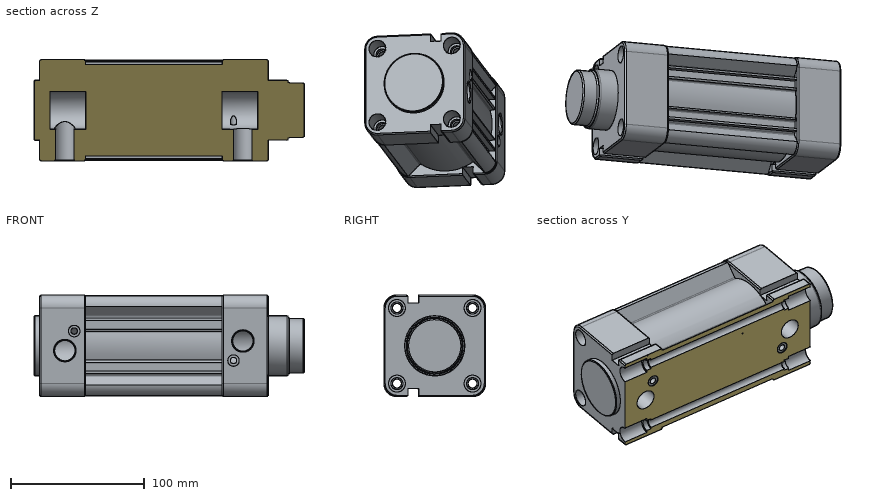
import cadquery as cq
import math

BODY_LENGTH = 171.0
CAP_LENGTH = 34.5
BARREL_LENGTH = BODY_LENGTH - 2 * CAP_LENGTH
MID_X = BODY_LENGTH / 2
OVERLAP = 1.0

CAP_SIZE = 76.0
CAP_CORNER_RADIUS = 9.75
CAP_CHAMFER = 1.0
NOTCH_Y = -12.0
NOTCH_WIDTH = 7.9
NOTCH_DEPTH = 6.0
NOTCH_CHAMFER_WIDTH = 1.4
CAP_BORE_RADIUS = 14.0
CAP_BORE_END_WALL = 8.0

TIE_ROD_OFFSET = 56.5 / 2
TIE_ROD_DIAMETER = 6.6
TIE_ROD_STEP_DIAMETER = 9.0
TIE_ROD_STEP_DEPTH = 24.0
TIE_ROD_MOUTH_DIAMETER = 12.6
TIE_ROD_MOUTH_DEPTH = 20.0

PORT_DIAMETER = 15.2
PORT_CHAMFER = 0.8
PORT_X = 19.0
PORT_Z = -3.6
SCREW_HOLE_DIAMETER = 4.8
SCREW_MOUTH_DIAMETER = 8.6
SCREW_MOUTH_DEPTH = 10.0
SCREW_X = 26.0
SCREW_Z = 11.0

BARREL_SIZE = 75.0
POST_CORNER_RADIUS = 9.25
TUBE_RADIUS = 34.5
POST_SLOPE_OFFSET = 8.1
POST_FLANK_FILLET = 1.0

RAIL_TIP_Y = 36.6
RAIL_FOOT_Z = 22.4
OUTER_LIP_Z = 20.6
GROOVE_TOP_Z = 19.0
GROOVE_BOTTOM_Z = 12.3
INNER_LIP_Z = 10.8
GROOVE_FLOOR_Y = 31.5
RAIL_FILLET = 0.5
INNER_LIP_DROP = 0.7

BOSS_RADIUS = 22.5
REAR_BOSS_LENGTH = 4.0
REAR_BOSS_CHAMFER = 0.6
FRONT_BOSS_LENGTH = 14.8
FRONT_BOSS_BEVEL = 0.2
FRONT_BOSS_BEVEL_LENGTH = 1.3
ROD_END_X = 198.0
ROD_RADIUS = 20.5
ROD_NECK_RADIUS = 21.3
ROD_NECK_LENGTH = 1.2
ROD_CHAMFER = 1.0


def x_cylinder(radius, x_start, x_end, y=0.0, z=0.0):
    """Cylinder parallel to the X axis."""
    axis_point = cq.Vector(x_start, y, z)
    return cq.Workplane(cq.Solid.makeCylinder(radius, x_end - x_start, axis_point, cq.Vector(1, 0, 0)))


def mirrored_lengthwise(body):
    """Copy of a rear-end body at the front end of the cylinder."""
    return body.mirror("YZ", (MID_X, 0, 0))


def end_cap():
    """Rear cap: rounded square block with chamfered end faces and two notches."""
    cap = (
        cq.Workplane("YZ")
        .rect(CAP_SIZE, CAP_SIZE)
        .extrude(CAP_LENGTH)
        .edges("|X")
        .fillet(CAP_CORNER_RADIUS)
        .faces("<X or >X")
        .chamfer(CAP_CHAMFER)
    )
    half = CAP_SIZE / 2
    notch_far_y = NOTCH_Y - NOTCH_WIDTH
    notch = (
        cq.Workplane("YZ")
        .polyline([
            (NOTCH_Y, half),
            (NOTCH_Y, half - NOTCH_DEPTH),
            (notch_far_y, half - NOTCH_DEPTH),
            (notch_far_y, half - CAP_CHAMFER),
            (notch_far_y - NOTCH_CHAMFER_WIDTH, half),
        ])
        .close()
        .extrude(CAP_LENGTH)
    )
    bore = x_cylinder(CAP_BORE_RADIUS, CAP_BORE_END_WALL, CAP_LENGTH)
    return cap.cut(notch).cut(notch.mirror("XY")).cut(bore)


def rail_cutter():
    """Space between two corner posts on the -Y side, leaving the two grooved rails."""
    outside_y = -BARREL_SIZE
    foot_y = -(RAIL_FOOT_Z + POST_SLOPE_OFFSET)
    lip_y = foot_y - (RAIL_FOOT_Z - OUTER_LIP_Z)
    tube_y = -math.sqrt(TUBE_RADIUS**2 - INNER_LIP_Z**2)
    floor_y = -GROOVE_FLOOR_Y
    upper_half = [
        (tube_y, INNER_LIP_Z),
        (INNER_LIP_DROP - RAIL_TIP_Y, INNER_LIP_Z),
        (-RAIL_TIP_Y, GROOVE_BOTTOM_Z),
        (floor_y, GROOVE_BOTTOM_Z),
        (floor_y, GROOVE_TOP_Z),
        (-RAIL_TIP_Y, GROOVE_TOP_Z),
        (-RAIL_TIP_Y, OUTER_LIP_Z),
        (lip_y, OUTER_LIP_Z),
        (foot_y, RAIL_FOOT_Z),
        (outside_y, -outside_y - POST_SLOPE_OFFSET),
    ]
    lower_half = [(y, -z) for y, z in reversed(upper_half)]
    cutter = (
        cq.Workplane("YZ")
        .polyline(upper_half + lower_half)
        .threePointArc((-TUBE_RADIUS, 0), upper_half[0])
        .close()
        .extrude(BARREL_LENGTH)
    )
    rounded_corners = ((tube_y, INNER_LIP_Z), (floor_y, GROOVE_BOTTOM_Z), (foot_y, RAIL_FOOT_Z))
    for y, z in rounded_corners:
        for z_sign in (-1, 1):
            corner = cq.selectors.NearestToPointSelector((BARREL_LENGTH / 2, y, z_sign * z))
            cutter = cutter.edges(corner).fillet(RAIL_FILLET)
    return cutter


def top_cutter():
    """Space between two corner posts on the +Z side, open down to the round tube."""
    root = math.sqrt(2 * TUBE_RADIUS**2 - POST_SLOPE_OFFSET**2)
    flank_y = (root - POST_SLOPE_OFFSET) / 2
    flank_z = flank_y + POST_SLOPE_OFFSET
    outside_z = BARREL_SIZE
    outside_y = outside_z - POST_SLOPE_OFFSET
    return (
        cq.Workplane("YZ")
        .moveTo(-flank_y, flank_z)
        .threePointArc((0, TUBE_RADIUS), (flank_y, flank_z))
        .lineTo(outside_y, outside_z)
        .lineTo(-outside_y, outside_z)
        .close()
        .extrude(BARREL_LENGTH)
        .edges("|X and (not >Z)")
        .fillet(POST_FLANK_FILLET)
    )


def barrel():
    """Extruded barrel: round tube, four corner posts and grooved side rails."""
    profile = (
        cq.Workplane("YZ")
        .rect(BARREL_SIZE, BARREL_SIZE)
        .extrude(BARREL_LENGTH)
        .edges("|X")
        .fillet(POST_CORNER_RADIUS)
    )
    side = rail_cutter()
    top = top_cutter()
    for cutter in (side, side.mirror("XZ"), top, top.mirror("XY")):
        profile = profile.cut(cutter)
    return profile.translate((CAP_LENGTH, 0, 0))


def rear_boss():
    """Short centring boss on the rear cap."""
    boss = x_cylinder(BOSS_RADIUS, -REAR_BOSS_LENGTH, OVERLAP)
    return boss.faces("<X").chamfer(REAR_BOSS_CHAMFER)


def front_boss_and_rod():
    """Centring boss of the front cap with the rod end standing out of it."""
    base_x = BODY_LENGTH - OVERLAP
    boss_end_x = BODY_LENGTH + FRONT_BOSS_LENGTH
    return (
        cq.Workplane("XY")
        .polyline([
            (base_x, 0),
            (base_x, BOSS_RADIUS),
            (boss_end_x - FRONT_BOSS_BEVEL_LENGTH, BOSS_RADIUS),
            (boss_end_x, BOSS_RADIUS - FRONT_BOSS_BEVEL),
            (boss_end_x, ROD_NECK_RADIUS),
            (boss_end_x + ROD_NECK_LENGTH, ROD_RADIUS),
            (ROD_END_X - ROD_CHAMFER, ROD_RADIUS),
            (ROD_END_X, ROD_RADIUS - ROD_CHAMFER),
            (ROD_END_X, 0),
        ])
        .close()
        .revolve(360, (0, 0, 0), (1, 0, 0))
    )


def tie_rod_hole(y, z):
    """Through hole with a two-step counterbore in both caps."""
    hole = x_cylinder(TIE_ROD_DIAMETER / 2, 0, BODY_LENGTH, y, z)
    mouth = x_cylinder(TIE_ROD_MOUTH_DIAMETER / 2, 0, TIE_ROD_MOUTH_DEPTH, y, z)
    step = x_cylinder(TIE_ROD_STEP_DIAMETER / 2, 0, TIE_ROD_STEP_DEPTH, y, z)
    counterbore = mouth.union(step)
    return hole.union(counterbore).union(mirrored_lengthwise(counterbore))


def side_hole(x, z, diameter):
    """Hole from the -Y face of a cap to the cap bore around the axis."""
    start = cq.Vector(x, -CAP_SIZE / 2, z)
    return cq.Workplane(cq.Solid.makeCylinder(diameter / 2, CAP_SIZE / 2, start, cq.Vector(0, 1, 0)))


def air_port(x, z):
    """Air port with a chamfered mouth."""
    mouth_radius = PORT_DIAMETER / 2 + PORT_CHAMFER
    start = cq.Vector(x, -CAP_SIZE / 2, z)
    mouth = cq.Solid.makeCone(mouth_radius, PORT_DIAMETER / 2, PORT_CHAMFER, start, cq.Vector(0, 1, 0))
    return side_hole(x, z, PORT_DIAMETER).union(cq.Workplane(mouth))


def cushion_screw_hole(x, z):
    """Small stepped hole for the cushion screw."""
    start = cq.Vector(x, -CAP_SIZE / 2, z)
    mouth = cq.Solid.makeCylinder(SCREW_MOUTH_DIAMETER / 2, SCREW_MOUTH_DEPTH, start, cq.Vector(0, 1, 0))
    return side_hole(x, z, SCREW_HOLE_DIAMETER).union(cq.Workplane(mouth))


rear_cap = end_cap()
result = rear_cap.union(barrel()).union(mirrored_lengthwise(rear_cap))
result = result.union(rear_boss()).union(front_boss_and_rod())

for y_sign in (-1, 1):
    for z_sign in (-1, 1):
        result = result.cut(tie_rod_hole(y_sign * TIE_ROD_OFFSET, z_sign * TIE_ROD_OFFSET))

for x_port, x_screw, z_sign in (
    (PORT_X, SCREW_X, 1),
    (BODY_LENGTH - PORT_X, BODY_LENGTH - SCREW_X, -1),
):
    result = result.cut(air_port(x_port, z_sign * PORT_Z))
    result = result.cut(cushion_screw_hole(x_screw, z_sign * SCREW_Z))